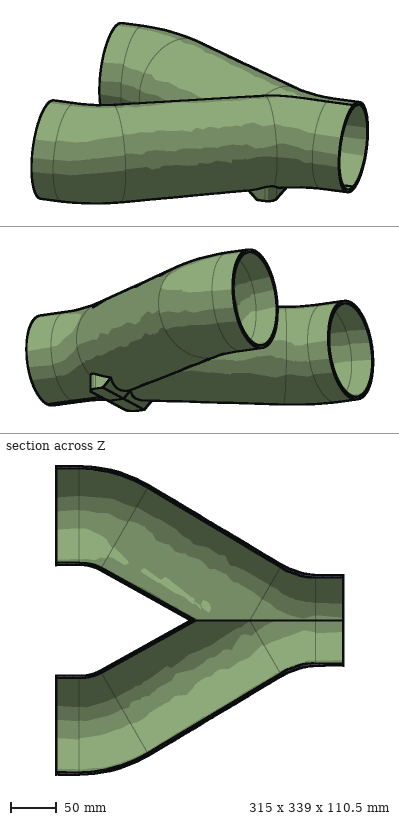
import cadquery as cq
import math

length = 315.0
width = 339.0
branch_diameter = 109.0
branch_bore = 103.0
trunk_diameter = 100.0
branch_collar = 25.0
trunk_collar = 30.5
branch_angle = math.radians(30)
branch_bend_radius = 100.0

wall = (branch_diameter - branch_bore) / 2
branch_radius = branch_diameter / 2
trunk_radius = trunk_diameter / 2
branch_offset = (width - branch_diameter) / 2
trunk_start = length - trunk_collar

pad_width = trunk_diameter
pad_start = 211.0
pad_end = 239.7
pad_bottom = -56.0
pad_chamfer = 10.0
pad_corner_radius = 10.0

sine = math.sin(branch_angle)
cosine = math.cos(branch_angle)
bend_span = trunk_start - branch_collar
radius_sum = (bend_span * sine - branch_offset * cosine) / (1 - cosine)
trunk_bend_radius = radius_sum - branch_bend_radius


def bend_point(radius, angle):
    """Forward and sideways travel along a bend of the centreline."""
    return radius * math.sin(angle), radius * (1 - math.cos(angle))


def branch_path():
    """Centreline between the collars: bend, straight run, opposite bend."""
    first_middle = bend_point(branch_bend_radius, branch_angle / 2)
    first_end = bend_point(branch_bend_radius, branch_angle)
    last_start = bend_point(trunk_bend_radius, branch_angle)
    last_middle = bend_point(trunk_bend_radius, branch_angle / 2)
    return (
        cq.Workplane("XY")
        .moveTo(branch_collar, -branch_offset)
        .threePointArc(
            (branch_collar + first_middle[0], -branch_offset + first_middle[1]),
            (branch_collar + first_end[0], -branch_offset + first_end[1]),
        )
        .lineTo(trunk_start - last_start[0], -last_start[1])
        .threePointArc((trunk_start - last_middle[0], -last_middle[1]), (trunk_start, 0))
    )


def cylinder_along_x(start, end, y, radius):
    return cq.Workplane("YZ", origin=(start, y, 0)).circle(radius).extrude(end - start)


def tube_solid(inset):
    """Tapered branch with its two collars, reduced in radius by inset."""
    large = branch_radius - inset
    small = trunk_radius - inset
    bend = (
        cq.Workplane("YZ", origin=(branch_collar, -branch_offset, 0))
        .circle(large)
        .workplane(offset=bend_span)
        .center(branch_offset, 0)
        .circle(small)
        .sweep(branch_path(), multisection=True)
    )
    branch_end = cylinder_along_x(0, branch_collar, -branch_offset, large)
    trunk_end = cylinder_along_x(trunk_start, length, 0, small)
    return bend.union(branch_end).union(trunk_end)


def mounting_pad():
    """Pad reaching up into the tube, chamfered toward the branches and rounded at the trunk end."""
    return (
        cq.Workplane("XY", origin=(0, 0, pad_bottom))
        .moveTo((pad_start + pad_end) / 2, 0)
        .rect(pad_end - pad_start, pad_width)
        .extrude(-pad_bottom)
        .edges("|Z and >X")
        .fillet(pad_corner_radius)
        .edges("<Z and <X")
        .chamfer(pad_chamfer)
    )


def duct_half():
    """Half on the -Y side, open toward its partner where the bores meet."""
    half_space = cq.Workplane("XY").box(length, width, width, centered=(False, False, True))
    half_space = half_space.translate((0, -width, 0))
    outer = tube_solid(0).union(mounting_pad())
    return outer.intersect(half_space).cut(tube_solid(wall))


near_half = duct_half()
halves = [near_half, near_half.mirror("XZ")]

result = cq.Compound.makeCompound([half.val() for half in halves])